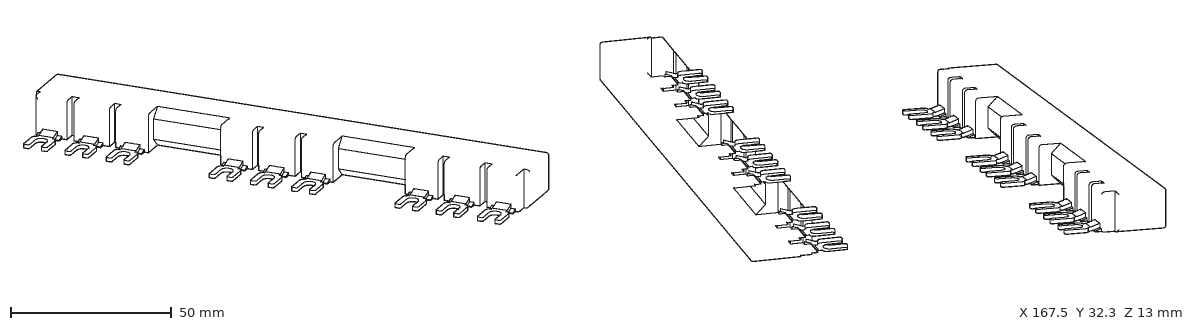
import cadquery as cq
import math


length = 167.5
height = 13.0
bar_depth = 16.5
block_depth = 4.05
edge_radius = 1.0

group_pitch = 63.0
group_half_width = 19.1
inner_half_width = 19.4
slot_near = 6.2
slot_far = 8.3
end_slot_near = 5.9

gap_bevel = 3.1

fork_pitch = 14.0
plate = 1.3
fork_reach = 11.75
fork_width = 8.0
fork_slot_width = 4.0
fork_slot_reach = 6.9
fork_tip_radius = 0.5
shoulder_reach = 3.8
shoulder_radius = 1.5
neck_width = 5.0
neck_reach = 3.0
neck_angle = math.radians(18.5)

ramp_width = fork_width
ramp_reach = 2.0

slot_floor_y = -bar_depth
front_y = slot_floor_y - block_depth
tip_y = front_y - fork_reach
neck_slope = math.tan(neck_angle)
neck_top = plate + neck_reach * neck_slope
neck_bottom = neck_top - plate / math.cos(neck_angle)
group_centers = [-group_pitch, 0.0, group_pitch]
fork_positions = [
    center + offset for center in group_centers for offset in (-fork_pitch, 0.0, fork_pitch)
]


def box(x0, x1, y0, y1, z0, z1):
    """Make a box from its limits along each axis."""
    return cq.Workplane("XY").box(x1 - x0, y1 - y0, z1 - z0, centered=False).translate((x0, y0, z0))


def extrude_along_x(outline, x0, x1):
    """Extrude a closed (y, z) outline from x0 to x1."""
    return cq.Workplane("YZ", origin=(x0, 0, 0)).polyline(outline).close().extrude(x1 - x0)


def make_bar():
    """Make the bar, rounded around its two ends and its back."""
    bar = box(-length / 2, length / 2, slot_floor_y, 0, 0, height)
    return bar.faces("<X or >X or >Y").edges().fillet(edge_radius)


def half_width(center, side):
    """Give a group's reach from its center toward side -1 or +1."""
    faces_middle = side * center < 0
    return inner_half_width if faces_middle else group_half_width


def make_group(center):
    """Make three blocks, rooted inside the bar and parted by two slots."""
    left = center - half_width(center, -1)
    right = center + half_width(center, 1)
    blocks = box(left, right, front_y, slot_floor_y / 2, 0, height)

    top_rounded = blocks.edges("<Y and >Z").fillet(edge_radius)
    if center != 0:
        end = ">X" if center > 0 else "<X"
        blocks = blocks.edges("|Z and <Y and " + end).fillet(edge_radius)
    blocks = blocks.intersect(top_rounded)

    for side in (-1, 1):
        faces_end = side * center > 0
        near = end_slot_near if faces_end else slot_near
        x0, x1 = sorted((center + side * near, center + side * slot_far))
        blocks = blocks.cut(box(x0, x1, front_y, slot_floor_y, 0, height))
    return blocks


def cut_gap_bevels(body):
    """Bevel the top and bottom front edges of the bar in the two gaps."""
    x0 = group_half_width
    x1 = group_pitch - inner_half_width
    for edge_z, inward in ((0, 1), (height, -1)):
        outline = [
            (slot_floor_y, edge_z),
            (slot_floor_y + gap_bevel, edge_z),
            (slot_floor_y, edge_z + inward * gap_bevel),
        ]
        body = body.cut(extrude_along_x(outline, x0, x1))
        body = body.cut(extrude_along_x(outline, -x1, -x0))
    return body


def make_ramp(x):
    """Make the ramp whose top lies against the underside of a neck."""
    end_y = front_y - ramp_reach
    outline = [
        (front_y, 0),
        (front_y, neck_bottom),
        (end_y, neck_bottom - ramp_reach * neck_slope),
        (end_y, 0),
    ]
    return extrude_along_x(outline, x - ramp_width / 2, x + ramp_width / 2)


def make_housing():
    body = make_bar()
    for center in group_centers:
        body = body.union(make_group(center))
    body = cut_gap_bevels(body)
    for x in fork_positions:
        body = body.union(make_ramp(x))
    return body


def make_neck():
    """Make the sloping neck, with a flat foot that runs into the fork."""
    bend_y = front_y - neck_reach
    under_bend_y = front_y - neck_bottom / neck_slope
    foot_y = front_y - shoulder_reach - shoulder_radius
    outline = [
        (front_y, neck_top),
        (front_y, neck_bottom),
        (under_bend_y, 0),
        (foot_y, 0),
        (foot_y, plate),
        (bend_y, plate),
    ]
    return extrude_along_x(outline, -neck_width / 2, neck_width / 2)


def make_fork(x):
    """Make one fork: a flat plate with an open slot, hung on its neck."""
    shoulder_y = front_y - shoulder_reach
    slot_end_y = front_y - fork_slot_reach
    fork = box(-fork_width / 2, fork_width / 2, tip_y, shoulder_y, 0, plate)
    fork = fork.edges("|Z and >Y").fillet(shoulder_radius)
    fork = fork.union(make_neck())
    fork = fork.cut(box(-fork_slot_width / 2, fork_slot_width / 2, tip_y, slot_end_y, 0, plate))
    fork = fork.cut(cq.Workplane("XY").center(0, slot_end_y).circle(fork_slot_width / 2).extrude(plate))
    fork = fork.faces("<Y").edges("|Z").fillet(fork_tip_radius)
    return fork.translate((x, 0, 0))


housing = make_housing().solids()
forks = [make_fork(x).solids() for x in fork_positions]
result = cq.Compound.makeCompound([housing.val(), *[fork.val() for fork in forks]])